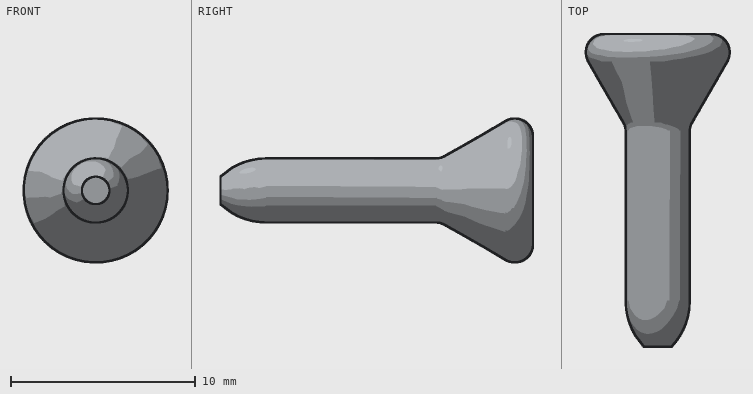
import cadquery as cq
import math

total_length = 17.0
head_diameter = 7.84
shaft_diameter = 3.5
tip_flat_diameter = 1.5
tip_length = 2.5
rim_radius = 1.0
neck_radius = 0.88
cone_half_angle = math.radians(30)

head_radius = head_diameter / 2
shaft_radius = shaft_diameter / 2
tip_flat_radius = tip_flat_diameter / 2
tip_y = -total_length / 2
head_y = total_length / 2
shaft_start_y = tip_y + tip_length

tip_drop = shaft_radius - tip_flat_radius
tip_arc_radius = (tip_length**2 + tip_drop**2) / (2 * tip_drop)
tip_arc_center = (shaft_radius - tip_arc_radius, shaft_start_y)
tip_mid_angle = -math.asin(tip_length / tip_arc_radius) / 2

rim_center = (head_radius - rim_radius, head_y - rim_radius)

neck_center_x = shaft_radius + neck_radius
neck_center_y = rim_center[1] - (
    (rim_center[0] - neck_center_x) * math.cos(cone_half_angle) + rim_radius + neck_radius
) / math.sin(cone_half_angle)
neck_center = (neck_center_x, neck_center_y)


def arc_point(center, radius, angle):
    """Point on a circle at an angle measured from the radial direction."""
    return (center[0] + radius * math.cos(angle), center[1] + radius * math.sin(angle))


neck_end_angle = math.pi - cone_half_angle
rim_start_angle = -cone_half_angle
rim_end_angle = math.pi / 2

profile = (
    cq.Workplane("XY")
    .moveTo(0, tip_y)
    .lineTo(tip_flat_radius, tip_y)
    .threePointArc(
        arc_point(tip_arc_center, tip_arc_radius, tip_mid_angle),
        (shaft_radius, shaft_start_y),
    )
    .lineTo(shaft_radius, neck_center_y)
    .threePointArc(
        arc_point(neck_center, neck_radius, (math.pi + neck_end_angle) / 2),
        arc_point(neck_center, neck_radius, neck_end_angle),
    )
    .lineTo(*arc_point(rim_center, rim_radius, rim_start_angle))
    .threePointArc(
        arc_point(rim_center, rim_radius, (rim_start_angle + rim_end_angle) / 2),
        arc_point(rim_center, rim_radius, rim_end_angle),
    )
    .lineTo(0, head_y)
    .close()
)

result = profile.revolve(360, (0, 0), (0, 1))